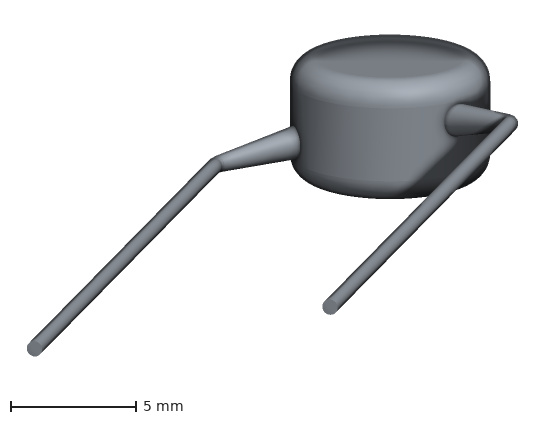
import cadquery as cq
import math

housing_diameter = 8.0
housing_height = 5.0
housing_rim_radius = 1.0

overall_length = 35.25
wire_diameter = 0.65
wire_spacing = 12.25
wire_level = 1.35
wire_start_y = -4.23
bend_radius = 0.45
bend_angle = 56.5
leg_tip_diameter = 0.7
leg_root_diameter = 1.48
leg_length = 3.88

housing_radius = housing_diameter / 2
wire_radius = wire_diameter / 2
leg_tip_radius = leg_tip_diameter / 2
leg_root_radius = leg_root_diameter / 2
wire_tip_y = housing_radius - overall_length

lead_tilt = math.degrees(math.atan2(wire_level, wire_spacing / 2))
wire_offset = math.hypot(wire_level, wire_spacing / 2)

turn = math.radians(bend_angle)
bend_centre = cq.Vector(wire_offset - bend_radius, wire_start_y)
wire_start = bend_centre + cq.Vector(bend_radius, 0)
bend_middle = bend_centre + cq.Vector(math.cos(turn / 2), math.sin(turn / 2)) * bend_radius
leg_tip = bend_centre + cq.Vector(math.cos(turn), math.sin(turn)) * bend_radius
wire_direction = cq.Vector(0, -1)
leg_direction = cq.Vector(-math.sin(turn), math.cos(turn))


def make_housing():
    base = cq.Workplane("XY").workplane(offset=-housing_height / 2)
    disc = base.circle(housing_radius).extrude(housing_height)
    return disc.faces("|Z").edges().fillet(housing_rim_radius)


def make_wire():
    wire_length = wire_start_y - wire_tip_y
    return cq.Workplane(cq.Solid.makeCylinder(wire_radius, wire_length, wire_start, wire_direction))


def make_bend():
    """The arc from wire to leg, widening from the wire diameter to the leg tip diameter."""
    centreline = cq.Edge.makeThreePointArc(wire_start, bend_middle, leg_tip)
    wire_ring = cq.Wire.makeCircle(wire_radius, wire_start, wire_direction * -1)
    leg_ring = cq.Wire.makeCircle(leg_tip_radius, leg_tip, leg_direction)
    return cq.Workplane(cq.Solid.sweep_multi([wire_ring, leg_ring], centreline))


def make_leg():
    return cq.Workplane(cq.Solid.makeCone(leg_tip_radius, leg_root_radius, leg_length, leg_tip, leg_direction))


def make_lead(housing, turn_about_y):
    """One lead, turned into place about Y and trimmed flush with the housing wall."""
    flat_lead = make_wire().union(make_bend()).union(make_leg())
    return flat_lead.rotate((0, 0, 0), (0, 1, 0), turn_about_y).cut(housing)


housing = make_housing()

leads = [make_lead(housing, half_turn - lead_tilt) for half_turn in (0, 180)]

result = cq.Compound.makeCompound([housing.solids().val(), *[lead.solids().val() for lead in leads]])